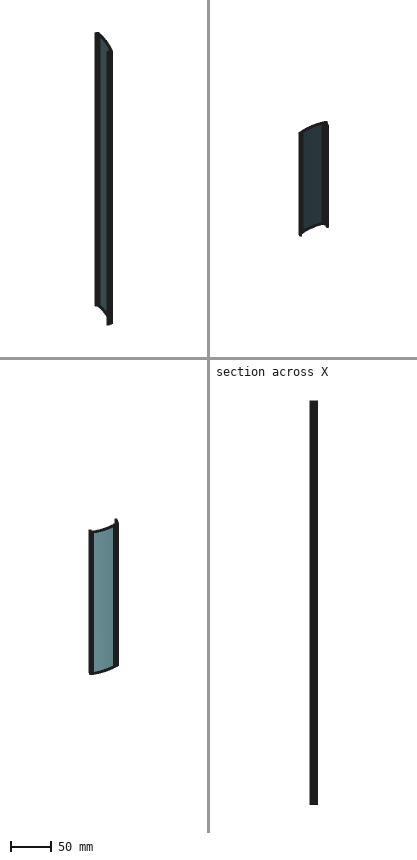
import cadquery as cq
import math

length = 500.0
width = 36.25
left_wall_x = -width / 2
right_wall_x = width / 2

bow_radius = 90.0
bow_center_x = -0.5
web_thickness = 0.62

rib_height = 0.6
rib_width = 0.8
rib_offset = 13.87
rib_depth = web_thickness + rib_height

corner_radius = 0.5
lip_bottom_y = -3.4
lip_overhang = 0.15
leg_thickness = 0.95

left_leg_tip_y = -4.7
left_leg_outer_x = left_wall_x + lip_overhang
left_leg_inner_x = left_leg_outer_x + leg_thickness

right_leg_tip_y = -8.08
right_leg_outer_x = right_wall_x - lip_overhang
right_leg_inner_x = right_leg_outer_x - leg_thickness
shoulder_x = 16.0
shoulder_y = -4.0
barb_width = 0.4
barb_x = right_leg_inner_x - barb_width
barb_top_y = -6.2
tip_chamfer = 0.8


def bow_point(x, depth=0.0):
    """Point at x on the arc lying the given depth inside the outer bow."""
    radius = bow_radius - depth
    return (x, math.sqrt(radius**2 - (x - bow_center_x) ** 2) - bow_radius)


def corner_arc(wall_x):
    """Corner round tangent to the bow and a side wall: its bow end, middle and wall end."""
    side = math.copysign(1.0, wall_x)
    center_x, center_y = bow_point(wall_x - side * corner_radius, corner_radius)
    bow_angle = math.acos((center_x - bow_center_x) / (bow_radius - corner_radius))
    wall_angle = 0.0 if side > 0 else math.pi
    angles = (bow_angle, (bow_angle + wall_angle) / 2, wall_angle)
    return [
        (center_x + corner_radius * math.cos(angle), center_y + corner_radius * math.sin(angle))
        for angle in angles
    ]


def add_inner_arc(outline, start_x, end_x, depth):
    """Line to the start of an inner arc, then along the arc to its end."""
    middle_x = (start_x + end_x) / 2
    return outline.lineTo(*bow_point(start_x, depth)).threePointArc(
        bow_point(middle_x, depth), bow_point(end_x, depth)
    )


def add_snap_leg(outline):
    """Right lip, snap leg with its chamfered barb, and the shoulder, from outside to inside."""
    return (
        outline.lineTo(right_wall_x, lip_bottom_y)
        .lineTo(right_leg_outer_x, lip_bottom_y)
        .lineTo(right_leg_outer_x, right_leg_tip_y)
        .lineTo(barb_x + tip_chamfer, right_leg_tip_y)
        .lineTo(barb_x, right_leg_tip_y + tip_chamfer)
        .lineTo(barb_x, barb_top_y)
        .lineTo(right_leg_inner_x, barb_top_y)
        .lineTo(right_leg_inner_x, shoulder_y)
        .lineTo(shoulder_x, shoulder_y)
    )


def add_inner_side(outline):
    """Inner side of the web with its two ribs, from the shoulder to the left leg."""
    right_rib_x = bow_center_x + rib_offset
    left_rib_x = bow_center_x - rib_offset
    ribs = ((right_rib_x + rib_width, right_rib_x), (left_rib_x, left_rib_x - rib_width))
    web_start_x = shoulder_x
    for rib_start_x, rib_end_x in ribs:
        outline = add_inner_arc(outline, web_start_x, rib_start_x, web_thickness)
        outline = add_inner_arc(outline, rib_start_x, rib_end_x, rib_depth)
        web_start_x = rib_end_x
    return add_inner_arc(outline, web_start_x, left_leg_inner_x, web_thickness)


def add_plain_leg(outline):
    """Left leg and lip, from inside to outside."""
    return (
        outline.lineTo(left_leg_inner_x, left_leg_tip_y)
        .lineTo(left_leg_outer_x, left_leg_tip_y)
        .lineTo(left_leg_outer_x, lip_bottom_y)
        .lineTo(left_wall_x, lip_bottom_y)
    )


def make_profile():
    left_bow_end, left_corner_middle, left_wall_top = corner_arc(left_wall_x)
    right_bow_end, right_corner_middle, right_wall_top = corner_arc(right_wall_x)
    outline = cq.Workplane("XY").moveTo(*left_bow_end)
    outline = outline.threePointArc(bow_point(bow_center_x), right_bow_end)
    outline = outline.threePointArc(right_corner_middle, right_wall_top)
    outline = add_snap_leg(outline)
    outline = add_inner_side(outline)
    outline = add_plain_leg(outline)
    outline = outline.lineTo(*left_wall_top)
    outline = outline.threePointArc(left_corner_middle, left_bow_end)
    return outline.close()


result = make_profile().extrude(length)